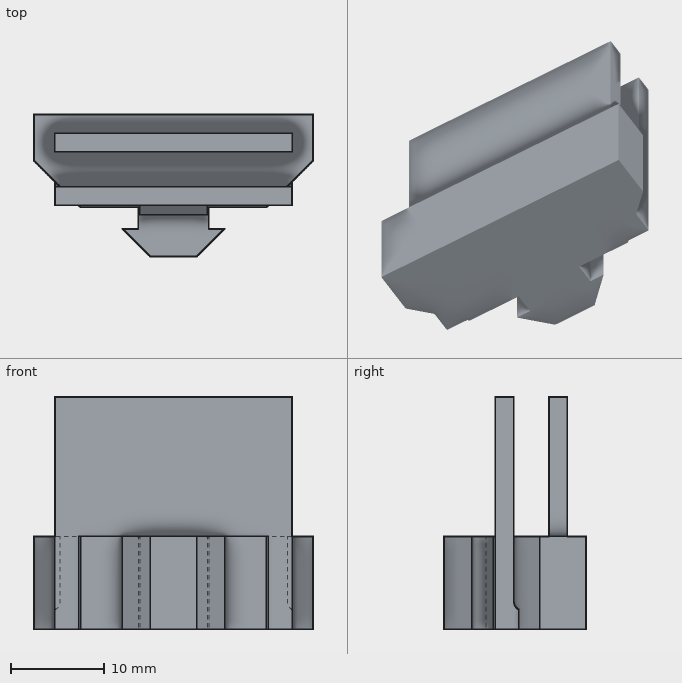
import cadquery as cq

block_width = 30.0
block_depth = 10.0
block_height = 10.0
block_chamfer = 5.0

plate_width = 25.5
plate_thickness = 2.0
plate_height = 25.0
rear_plate_offset = 2.0
strip_thickness = 0.2
bend_radius = 1.0

overall_depth = 15.3
head_width = 10.98
head_depth = 3.0
head_tip_width = head_width - 2 * head_depth
clip_wall = 0.2
tongue_width = 7.2
tongue_length = 1.0
neck_width = tongue_width + 2 * clip_wall

front_plate_y = -(block_depth - strip_thickness)
front_plate_back_y = front_plate_y + plate_thickness
rear_plate_y = -rear_plate_offset
rear_plate_front_y = rear_plate_y - plate_thickness
strip_front_half = block_width / 2 - block_chamfer
strip_back_half = strip_front_half + strip_thickness
head_back_y = -(overall_depth - head_depth)


def make_core():
    """Block with 45 degree front corners, ending at the front plate's outer face."""
    half_width = block_width / 2
    return (
        cq.Workplane("XY")
        .polyline([
            (-half_width, 0),
            (half_width, 0),
            (half_width, -(block_depth - block_chamfer)),
            (strip_back_half, front_plate_y),
            (-strip_back_half, front_plate_y),
            (-half_width, -(block_depth - block_chamfer)),
        ])
        .close()
        .extrude(block_height)
    )


def make_bracket():
    """U section with rounded inside corners, extruded along X."""
    return (
        cq.Workplane("YZ")
        .moveTo(rear_plate_y, 0)
        .lineTo(rear_plate_y, plate_height)
        .lineTo(rear_plate_front_y, plate_height)
        .lineTo(rear_plate_front_y, plate_thickness + bend_radius)
        .radiusArc((rear_plate_front_y - bend_radius, plate_thickness), bend_radius)
        .lineTo(front_plate_back_y + bend_radius, plate_thickness)
        .radiusArc((front_plate_back_y, plate_thickness + bend_radius), bend_radius)
        .lineTo(front_plate_back_y, plate_height)
        .lineTo(front_plate_y, plate_height)
        .lineTo(front_plate_y, 0)
        .close()
        .extrude(plate_width / 2, both=True)
    )


def make_tongue():
    """Bar on the front plate that fills the recess in the clip."""
    return (
        cq.Workplane("XY")
        .center(0, front_plate_y - tongue_length / 2)
        .rect(tongue_width, tongue_length)
        .extrude(block_height)
    )


def make_housing():
    """Block, bracket and tongue as one solid."""
    return make_core().union(make_bracket()).union(make_tongue())


def make_clip():
    """Thin strip, neck and arrow-shaped head, with a recess for the tongue."""
    right_side = [
        (strip_back_half, front_plate_y),
        (strip_front_half, -block_depth),
        (neck_width / 2, -block_depth),
        (neck_width / 2, head_back_y),
        (head_width / 2, head_back_y),
        (head_tip_width / 2, -overall_depth),
    ]
    left_side = [(-x, y) for x, y in reversed(right_side)]
    profile = cq.Workplane("XY").polyline(right_side + left_side).close()
    return profile.extrude(block_height).cut(make_tongue())


housing = make_housing()
clip = make_clip()
result = cq.Compound.makeCompound([housing.val(), clip.val()])